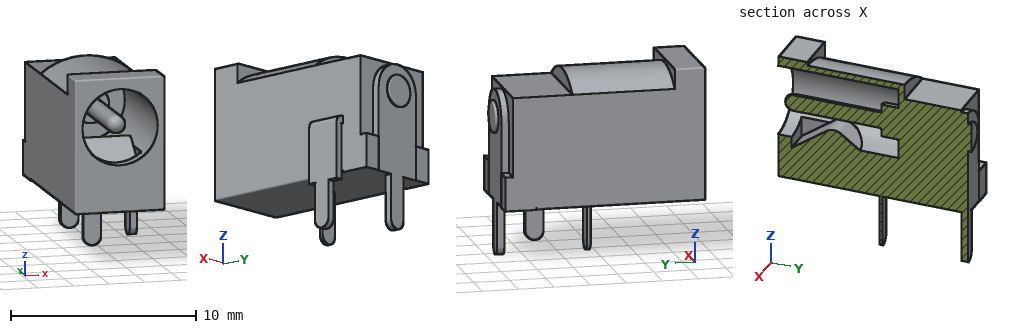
import cadquery as cq
import math


cos_45 = math.sqrt(0.5)

width = 5.01
flange_height = 7.4
flange_depth = 1.72
body_top = 6.3
body_back = 10.7
barrel_back = 7.4
barrel_crown = 7.2
edge_radius = 0.1
rounded_length = 9.4
step_back = 11.13
step_top = 1.9

axis_height = 4.7
bore_radius = 2.1
barrel_wall = barrel_crown - axis_height - bore_radius
bore_depth = barrel_back - barrel_wall
pin_radius = 0.5
pin_tip = 0.4
collar_radius = 1.0
collar_length = 1.0
collar_front = bore_depth - collar_length
collar_edge_radius = 0.1

spring_width = 2.77
spring_front = 0.8
spring_slope = math.radians(35.5)
spring_crest_y = 3.24
spring_crest_z = 3.53
spring_bend_radius = 0.7

terminal_drop = 3.0
tail_width = 1.0
sheet = 0.41

front_tail_y = 6.01
front_tail_thickness = 0.2

plate_width = 3.0
plate_front = body_back
plate_back = plate_front + sheet
rivet_radius = 0.89
rivet_back = 11.3

side_projection = 0.5
side_front = barrel_back
side_back = rounded_length
side_top = 3.14
side_tail_y = 8.3
side_shoulder = 0.41


def box(x0, x1, y0, y1, z0, z1):
    return cq.Workplane("XY").box(x1 - x0, y1 - y0, z1 - z0, centered=False).translate((x0, y0, z0))


def xz_plane(y):
    """Vertical workplane at depth y, facing -Y, with its origin on the seating plane."""
    return cq.Workplane(cq.Plane(origin=(0, y, 0), xDir=(1, 0, 0), normal=(0, -1, 0)))


def cylinder(radius, y0, y1):
    """Cylinder on the socket axis from depth y0 to y1."""
    return xz_plane(y0).center(0, axis_height).circle(radius).extrude(y0 - y1)


def tail_outline(plane, center):
    """Round-ended solder tail hanging from the seating plane."""
    half = tail_width / 2
    return (
        plane.moveTo(center - half, 0)
        .lineTo(center - half, half - terminal_drop)
        .threePointArc((center, -terminal_drop), (center + half, half - terminal_drop))
        .lineTo(center + half, 0)
        .close()
    )


def housing():
    """Front flange, lower body behind it, arched barrel and two pads beside the back plate."""
    half = width / 2
    body = box(-half, half, 0, rounded_length, 0, flange_height)
    body = body.edges("|Y or <Y").fillet(edge_radius)
    body = body.cut(box(-half, half, flange_depth, rounded_length, body_top, flange_height))
    body = body.union(box(-half, half, rounded_length, body_back, 0, body_top))
    barrel = (
        xz_plane(flange_depth)
        .moveTo(-half, body_top)
        .threePointArc((0, barrel_crown), (half, body_top))
        .close()
        .extrude(flange_depth - barrel_back)
    )
    body = body.union(barrel)
    for side in (-1, 1):
        inner, outer = sorted((side * plate_width / 2, side * half))
        body = body.union(box(inner, outer, body_back, step_back, 0, step_top))
    return body


def spring_ridge():
    """Contact spring as a ridge: a ramp, a rounded crest and a matching fall behind it."""
    run = spring_bend_radius * math.sin(spring_slope)
    bend_z = spring_crest_z - spring_bend_radius * (1 - math.cos(spring_slope))
    base_run = run + bend_z / math.tan(spring_slope)
    return (
        cq.Workplane("YZ", origin=(-spring_width / 2, 0, 0))
        .moveTo(spring_crest_y - base_run, 0)
        .lineTo(spring_crest_y - run, bend_z)
        .threePointArc((spring_crest_y, spring_crest_z), (spring_crest_y + run, bend_z))
        .lineTo(spring_crest_y + base_run, 0)
        .close()
        .extrude(spring_width)
    )


def socket(body):
    """Bore with the spring rising through its floor and the centre pin on a collar."""
    half = spring_width / 2
    bore = cylinder(bore_radius, 0, bore_depth)
    pocket = box(-half, half, spring_front, spring_crest_y, 0, axis_height).cut(spring_ridge())
    body = body.cut(bore).cut(pocket)
    return body.union(spring_ridge().intersect(bore)).union(centre_pin())


def centre_pin():
    """Round-nosed pin, blended by a small fillet into a collar with a rounded rim."""
    edge = collar_edge_radius
    edge_45 = edge * cos_45
    nose_center = pin_tip + pin_radius
    return (
        cq.Workplane("XY", origin=(0, 0, axis_height))
        .moveTo(0, pin_tip)
        .threePointArc((pin_radius * cos_45, nose_center - pin_radius * cos_45), (pin_radius, nose_center))
        .lineTo(pin_radius, collar_front - edge)
        .threePointArc(
            (pin_radius + edge - edge_45, collar_front - edge + edge_45),
            (pin_radius + edge, collar_front),
        )
        .lineTo(collar_radius - edge, collar_front)
        .threePointArc(
            (collar_radius - edge + edge_45, collar_front + edge - edge_45),
            (collar_radius, collar_front + edge),
        )
        .lineTo(collar_radius, bore_depth)
        .lineTo(0, bore_depth)
        .close()
        .revolve(360, (0, 0, 0), (0, 1, 0))
    )


def front_terminal():
    """Thin tail of the contact spring."""
    back = front_tail_y + front_tail_thickness / 2
    return tail_outline(xz_plane(back), 0).extrude(front_tail_thickness)


def rear_terminal():
    """Round-topped back plate with its tail and the rivet head of the centre pin."""
    half = plate_width / 2
    plate = box(-half, half, plate_front, plate_back, 0, axis_height)
    plate = plate.union(cylinder(half, plate_front, plate_back))
    tail = tail_outline(xz_plane(plate_back), 0).extrude(sheet)

    rim = (rivet_back - plate_back) / 2
    rivet = (
        cq.Workplane("XY", origin=(0, 0, axis_height))
        .moveTo(0, plate_back)
        .lineTo(rivet_radius - rim, plate_back)
        .threePointArc((rivet_radius, plate_back + rim), (rivet_radius - rim, rivet_back))
        .lineTo(0, rivet_back)
        .close()
        .revolve(360, (0, 0, 0), (0, 1, 0))
    )
    return plate.union(tail).union(rivet)


def side_terminal():
    """Sheet bent down along the +X wall, narrowing to a tail below the shoulder."""
    wall = width / 2
    outer = wall + side_projection
    inner = outer - sheet
    arm = box(wall, outer, side_front, side_back, side_top - sheet, side_top)
    blade = box(inner, outer, side_front, side_back, -side_shoulder, side_top - sheet)
    bent = arm.union(blade).edges("|Y and >X and >Z").fillet(sheet)
    tail_plane = cq.Workplane("YZ", origin=(inner, 0, 0))
    tail = tail_outline(tail_plane, side_tail_y).extrude(sheet)
    return bent.union(tail)


result = socket(housing())
for terminal in (front_terminal(), rear_terminal(), side_terminal()):
    result = result.union(terminal)